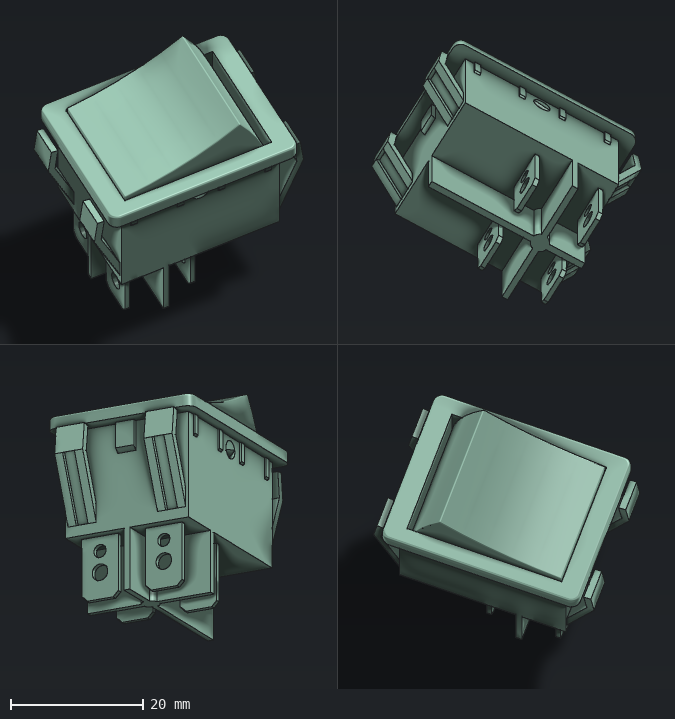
import cadquery as cq
import math


bezel_width = 25.0
bezel_length = 31.85
bezel_thickness = 2.13
bezel_corner_radius = 1.48
bezel_edge_radius = 0.5
body_width = 21.17
body_length = 26.85
body_bottom = -16.9

opening_width = 19.65
opening_length = 24.93
opening_floor = -8.67
pivot_radius = 1.4
pivot_height = -2.05

rocker_width = 19.45
rocker_tilt = 15.0
rocker_apex = (7.25, 9.25)
rocker_dish = (-0.05, 5.75)
rocker_front_top = (-12.4, 2.75)
rocker_front_lean = 4.0
rocker_back_middle = (10.25, 4.05)
rocker_back_bottom = (11.95, -1.0)
rocker_edge_radius = 0.2
pin_ramp_angle = 39.0

side_rib_width = 1.05
side_rib_height = 3.35
side_rib_projection = 0.3
side_rib_positions = (-11.38, -3.5, 3.5, 11.38)
end_rib_width = 3.1
end_rib_height = 4.77
end_rib_projection = 0.7

clip_width = 4.85
clip_spacing = 15.35
clip_thickness = 1.15
clip_span = 35.6
clip_knee_height = -4.77
clip_foot_height = -15.17
clip_tip_length = 4.45
clip_tip_lean = 7.0
clip_root = 0.72
groove_width = 2.02
groove_depth = 0.65

barrier_bottom = -26.8
barrier_thickness = 1.0
pillar_radius = 1.45
cross_wall_y = -5.8
blade_width = 6.3
blade_thickness = 0.8
blade_bottom = -26.95
blade_chamfer = 0.85
blade_x_spacing = 10.95
blade_rows = (-11.4, -0.33)
small_hole_diameter = 2.05
small_hole_height = -19.25
large_hole_diameter = 2.65
large_hole_height = -22.65


def box_between(width, length, bottom, top):
    """Box centred on the Z axis between two heights."""
    return cq.Workplane("XY").workplane(offset=bottom).rect(width, length).extrude(top - bottom)


def make_bezel():
    bezel = box_between(bezel_width, bezel_length, 0, bezel_thickness)
    bezel = bezel.edges("|Z").fillet(bezel_corner_radius)
    return bezel.faces(">Z").edges().fillet(bezel_edge_radius)


def make_rib(wall, projection, width, height):
    """Rib on a wall facing +X, with a 45 degree lower end."""
    root = wall - projection
    outline = [
        (root, 0),
        (wall + projection, 0),
        (wall + projection, projection - height),
        (wall, -height),
        (root, -height),
    ]
    return cq.Workplane("XZ").polyline(outline).close().extrude(width / 2, both=True)


def make_ribs():
    ribs = cq.Workplane("XY")
    side_rib = make_rib(body_width / 2, side_rib_projection, side_rib_width, side_rib_height)
    end_rib = make_rib(body_length / 2, end_rib_projection, end_rib_width, end_rib_height)
    for turn in (0, 180):
        for y in side_rib_positions:
            ribs = ribs.add(side_rib.translate((0, y, 0)).rotate((0, 0, 0), (0, 0, 1), turn))
        ribs = ribs.add(end_rib.rotate((0, 0, 0), (0, 0, 1), turn + 90))
    return ribs


wall_y = body_length / 2
clip_knee = cq.Vector(clip_span / 2, clip_knee_height)
clip_foot = cq.Vector(wall_y, clip_foot_height)
leg_direction = (clip_knee - clip_foot).normalized()
leg_inward = cq.Vector(-leg_direction.y, leg_direction.x)
tip_lean = math.radians(clip_tip_lean)
tip_direction = cq.Vector(-math.sin(tip_lean), math.cos(tip_lean))
tip_inward = cq.Vector(-tip_direction.y, tip_direction.x)


def yz_prism(points, width):
    """Prism with the given (y, z) outline, centred on X = 0."""
    outline = [(point.x, point.y) for point in points]
    return cq.Workplane("YZ").polyline(outline).close().extrude(width / 2, both=True)


def make_clip():
    tip = clip_knee + tip_direction * clip_tip_length
    miter = (leg_inward + tip_inward) * (clip_thickness / (1 + leg_inward.dot(tip_inward)))
    root_inset = cq.Vector(-clip_root, 0)
    leg_slope = leg_direction.y / leg_direction.x
    inner_foot = clip_foot + cq.Vector(0, clip_thickness / leg_direction.x)
    root_drop = cq.Vector(0, -clip_root * leg_slope)
    points = [
        clip_foot,
        clip_knee,
        tip,
        tip + tip_inward * clip_thickness,
        clip_knee + miter,
        inner_foot + root_inset + root_drop,
        clip_foot + root_inset,
    ]
    return yz_prism(points, clip_width)


def make_clip_groove():
    """Groove along the outer face of a clip leg, squared off at the foot."""
    inset = leg_inward * groove_depth
    return yz_prism([clip_foot, clip_knee, clip_knee + inset, clip_foot + inset], groove_width)


def at_clip_places(shape):
    """Copies of a shape at the four clip places, two on each end wall."""
    copies = cq.Workplane("XY")
    for turn in (0, 180):
        for x in (-clip_spacing / 2, clip_spacing / 2):
            copies = copies.add(shape.translate((x, 0, 0)).rotate((0, 0, 0), (0, 0, 1), turn))
    return copies


def make_barrier():
    """Crossed walls that keep the terminals apart, with a round pillar where they meet."""
    long_wall = box_between(barrier_thickness, body_length, barrier_bottom, body_bottom)
    cross_wall = box_between(body_width, barrier_thickness, barrier_bottom, body_bottom)
    pillar = cq.Workplane("XY").workplane(offset=barrier_bottom).circle(pillar_radius)
    pillar = pillar.extrude(body_bottom - barrier_bottom)
    crossing = cross_wall.union(pillar).translate((0, cross_wall_y, 0))
    return long_wall.union(crossing)


def make_blade():
    """Flat terminal with two holes and clipped lower corners."""
    blade = box_between(blade_width, blade_thickness, blade_bottom, body_bottom)
    blade = blade.faces("<Z").edges("|Y").chamfer(blade_chamfer)
    for diameter, height in (
        (small_hole_diameter, small_hole_height),
        (large_hole_diameter, large_hole_height),
    ):
        hole = cq.Workplane("XZ", origin=(0, blade_thickness / 2, height)).circle(diameter / 2)
        blade = blade.cut(hole.extrude(blade_thickness))
    return blade


def make_blades():
    blade = make_blade()
    blades = cq.Workplane("XY")
    for x in (-blade_x_spacing / 2, blade_x_spacing / 2):
        for y in blade_rows:
            blades = blades.add(blade.translate((x, y, 0)))
    return blades


def make_pivot_cylinder():
    """Cylinder across the whole box along the pivot axis."""
    end = cq.Workplane("YZ", origin=(-body_width / 2, 0, pivot_height)).circle(pivot_radius)
    return end.extrude(body_width)


def make_housing():
    housing = box_between(body_width, body_length, body_bottom, 0).union(make_bezel())
    for additions in (make_ribs(), at_clip_places(make_clip()), make_barrier(), make_blades()):
        for addition in additions.vals():
            housing = housing.union(cq.Workplane(addition))
    for groove in at_clip_places(make_clip_groove()).vals():
        housing = housing.cut(cq.Workplane(groove))
    housing = housing.cut(box_between(opening_width, opening_length, opening_floor, bezel_thickness))
    return housing.cut(make_pivot_cylinder())


def make_rocker_block():
    """Rocker without pins: hollow top, bulged back and a tilted flat underside."""
    tilt_slope = math.tan(math.radians(rocker_tilt))
    lean_slope = math.tan(math.radians(rocker_front_lean))
    front_y, front_z = rocker_front_top
    back_y, back_z = rocker_back_bottom
    front_bottom_z = (back_z - tilt_slope * (back_y - front_y - lean_slope * front_z)) / (
        1 + tilt_slope * lean_slope
    )
    front_bottom_y = front_y + lean_slope * (front_z - front_bottom_z)
    profile = (
        cq.Workplane("YZ")
        .moveTo(*rocker_front_top)
        .threePointArc(rocker_dish, rocker_apex)
        .threePointArc(rocker_back_middle, rocker_back_bottom)
        .lineTo(front_bottom_y, front_bottom_z)
        .close()
    )
    block = profile.extrude(rocker_width / 2, both=True)
    underside_edges = block.faces("<Z").edges().vals()
    outer_edges = [
        edge for edge in block.edges().vals()
        if not any(edge.isSame(underside) for underside in underside_edges)
    ]
    return block.newObject(outer_edges).fillet(rocker_edge_radius)


def make_pin_ramp():
    """Cutter for the snap-in ramp under the end of the -X pin, tilted with the rocker."""
    end_x = -body_width / 2
    drop = 2 * pivot_radius
    run = drop * math.tan(math.radians(pin_ramp_angle))
    outline = [
        (end_x, pivot_height),
        (end_x + run, pivot_height - drop),
        (end_x, pivot_height - drop),
    ]
    wedge = cq.Workplane("XZ").polyline(outline).close().extrude(drop, both=True)
    return wedge.rotate((0, 0, pivot_height), (1, 0, pivot_height), rocker_tilt)


def make_rocker():
    pins = make_pivot_cylinder()
    ramp = make_pin_ramp()
    pins = pins.cut(ramp).cut(ramp.mirror("YZ"))
    return make_rocker_block().union(pins)


housing = make_housing()
rocker = make_rocker()

result = cq.Compound.makeCompound([housing.solids().val(), rocker.solids().val()])